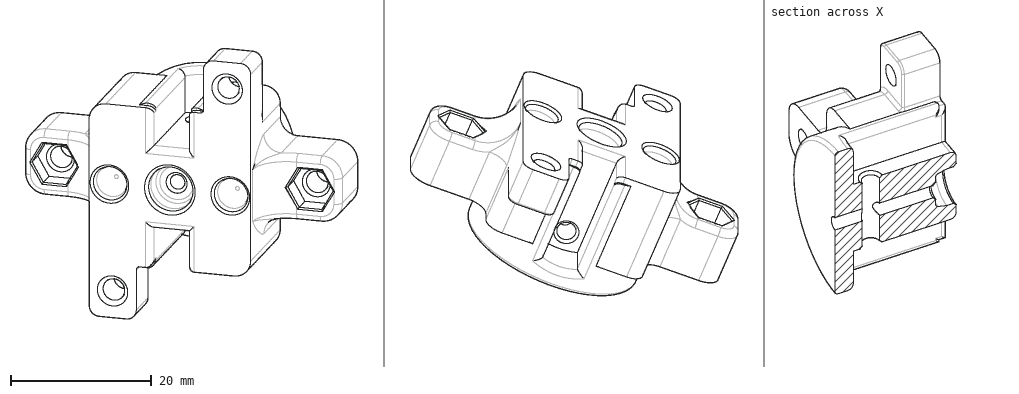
import cadquery as cq
import math

total_depth = 19.5
block_half = 12.0
block_depth = 14.5
block_corner = 2.5
edge_round = 1.0

leg_inner_x = 5.0
leg_reach = 20.0
leg_depth = 6.0
leg_corner = 1.5
leg_root_cove = 0.5
leg_rim_round = 0.3
leg_hole_x = 8.5
leg_hole_z = 16.0
screw_hole_radius = 1.6
leg_countersink = 0.65

ear_reach = 23.5
ear_half_height = 4.9
ear_front_y = 6.0
ear_corner = 3.0
ear_front_sweep = 5.0
ear_root_fillet = 2.6
nut_x = 19.0
nut_flats = 5.85
nut_chamfer = 0.25
nut_depth = 3.0
nut_seat_chamfer = 0.45

barrel_radius = 12.92
barrel_front_y = 1.0
barrel_rim_round = 0.5

slot_half_width = 2.65
slot_floor_z = 6.1
slot_end_y = 16.5
slot_end_radius = 10.5
cross_hole_y = 13.72
cross_hole_radius = 1.35
cross_hole_chamfer = 0.4

pocket_x = 9.0
pocket_radius = 2.5
pocket_mouth = 0.38
pocket_rim_y = 1.2
pocket_ball_radius = 2.25
pocket_tip_radius = 0.3
bore_mouth_radius = 3.75
bore_radius = 3.3
bore_floor_radius = 2.85
bore_taper_y = 1.55
bore_depth = 3.3
bore_floor_round = 0.45
pilot_radius = 1.1
pilot_chamfer = 0.45


def half_turned(shape):
    """Copy turned half a turn about the Y axis."""
    return shape.rotate((0, 0, 0), (0, 1, 0), 180)


def box(x0, x1, y0, y1, z0, z1):
    return cq.Workplane("XY").box(x1 - x0, y1 - y0, z1 - z0, centered=False).translate((x0, y0, z0))


def turned(points, x=0.0, z=0.0):
    """Solid of revolution about a line parallel to Y; points are (radius, y)."""
    profile = cq.Workplane("XY").polyline(points).close()
    return profile.revolve(360, (0, 0, 0), (0, 1, 0)).translate((x, 0, z))


def countersunk_hole(x, z, start_y, end_y, radius, chamfer):
    points = [
        (0, start_y),
        (radius + chamfer, start_y),
        (radius, start_y + chamfer),
        (radius, end_y),
        (0, end_y),
    ]
    return turned(points, x, z)


def slot_cutter():
    """Upper slot, open at the front and closed by a curved wall at the back."""
    side_y = slot_end_y - slot_end_radius
    side_y += math.sqrt(slot_end_radius**2 - slot_half_width**2)
    return (
        cq.Workplane("XY", origin=(0, 0, slot_floor_z))
        .moveTo(-slot_half_width, 0)
        .lineTo(slot_half_width, 0)
        .lineTo(slot_half_width, side_y)
        .threePointArc((0, slot_end_y), (-slot_half_width, side_y))
        .close()
        .extrude(barrel_radius)
    )


def slot_mouth_edges(edges, surface_z):
    """Edges where the slots meet the front face and the outer surface beyond surface_z."""
    slack = 0.005
    front_y = min(edge.BoundingBox().ymin for edge in edges)
    chosen = []
    for edge in edges:
        center = edge.Center()
        size = edge.BoundingBox()
        in_slot = size.xmin > -slot_half_width - slack and size.xmax < slot_half_width + slack
        on_front = size.ymax < front_y + slack
        on_outside = abs(center.z) > surface_z - slack and center.y < slot_end_y
        if in_slot and (on_front or on_outside):
            chosen.append(edge)
    return chosen


def cut_rounded_slots(body, surface_z):
    slot = slot_cutter()
    body = body.cut(slot).cut(half_turned(slot))
    return body.newObject(slot_mouth_edges(body.edges().vals(), surface_z)).fillet(edge_round)


def make_barrel():
    barrel = turned(
        [
            (0, barrel_front_y),
            (barrel_radius, barrel_front_y),
            (barrel_radius, total_depth),
            (0, total_depth),
        ]
    )
    barrel = barrel.faces(">Y").edges().fillet(barrel_rim_round)
    for x0, x1 in ((-barrel_radius, -block_half), (block_half, barrel_radius)):
        barrel = barrel.cut(box(x0, x1, 0, ear_front_y, -barrel_radius, barrel_radius))
    return cut_rounded_slots(barrel, block_half)


def make_ear():
    """Ear on the +X side, swept into the block side by an arc on its front."""
    arc_start_y = ear_front_y - ear_front_sweep
    arc_end_x = block_half + ear_front_sweep
    diagonal = ear_front_sweep * math.sqrt(0.5)
    ear = (
        cq.Workplane("XY", origin=(0, 0, -ear_half_height))
        .moveTo(0, arc_start_y)
        .lineTo(block_half, arc_start_y)
        .threePointArc((arc_end_x - diagonal, arc_start_y + diagonal), (arc_end_x, ear_front_y))
        .lineTo(ear_reach, ear_front_y)
        .lineTo(ear_reach, block_depth)
        .lineTo(0, block_depth)
        .close()
        .extrude(2 * ear_half_height)
    )
    return ear.edges("|Y and >X").fillet(ear_corner)


def ear_front_edges(edges):
    """Edges around the ear front, out past the block side."""
    slack = 0.005
    chosen = []
    for edge in edges:
        center = edge.Center()
        on_front = edge.BoundingBox().ymax < ear_front_y + slack
        along_outline = abs(center.z) > slack or center.x > ear_reach - slack
        if center.x > block_half + slack and on_front and along_outline:
            chosen.append(edge)
    return chosen


def ear_root_edges(edges):
    """Straight edges where the top and bottom of the ear meet the block side."""
    slack = 0.005
    chosen = []
    for edge in edges:
        center = edge.Center()
        on_side = abs(center.x - block_half) < slack
        on_ear = abs(abs(center.z) - ear_half_height) < slack
        if on_side and on_ear:
            chosen.append(edge)
    return chosen


def make_leg():
    leg = box(leg_inner_x, block_half, 0, leg_depth, 0, leg_reach)
    leg = leg.edges("|Y and >Z").fillet(leg_corner)
    return leg.faces(">Y").edges("not <Z").fillet(leg_rim_round)


def leg_root_edges(edges):
    """Straight edge beside the leg; the cove runs on from it around the leg's back."""
    slack = 0.005
    chosen = []
    for edge in edges:
        center = edge.Center()
        if abs(center.x - leg_inner_x) < slack and abs(center.z - block_half) < slack:
            chosen.append(edge)
    return chosen


def make_core():
    """Block, legs and ears, built as one half and its half-turned copy."""
    half = box(0, block_half, 0, block_depth, -block_half, block_half)
    half = half.edges("|Y and >X").fillet(block_corner)
    half = half.union(make_leg())
    half = half.newObject(leg_root_edges(half.edges("|Y").vals())).fillet(leg_root_cove)
    ear = make_ear()
    ear = ear.newObject(ear_front_edges(ear.edges().vals())).fillet(edge_round)
    half = half.union(ear)
    half = half.newObject(ear_root_edges(half.edges("|Y").vals())).fillet(ear_root_fillet)
    core = half.union(half_turned(half))
    return cut_rounded_slots(core, block_half)


def nut_pocket(x):
    """Clearance hole through an ear with a hexagonal nut pocket sunk from its front."""
    floor_y = ear_front_y + nut_depth
    corner_scale = 2 / math.sqrt(3)
    mouth_flats = nut_flats + 2 * nut_chamfer
    plane = cq.Workplane("XZ", origin=(x, floor_y, 0))
    pocket = plane.polygon(6, nut_flats * corner_scale).extrude(nut_depth)
    mouth = (
        cq.Workplane("XZ", origin=(x, ear_front_y + nut_chamfer, 0))
        .polygon(6, nut_flats * corner_scale)
        .workplane(offset=nut_chamfer)
        .polygon(6, mouth_flats * corner_scale)
        .loft(ruled=True)
    )
    hole = countersunk_hole(x, 0, floor_y, block_depth, screw_hole_radius, nut_seat_chamfer)
    relief = cq.Workplane("XZ", origin=(x, ear_front_y, 0)).polygon(6, mouth_flats * corner_scale)
    return pocket.union(mouth).union(hole).union(relief.extrude(ear_front_y))


def ball_pocket(x):
    """Blind pocket with a chamfered mouth, a short taper and a ball-shaped bottom."""
    tip_y = pocket_rim_y + math.sqrt(pocket_ball_radius**2 - pocket_tip_radius**2)
    diagonal = pocket_ball_radius * math.sqrt(0.5)
    profile = (
        cq.Workplane("XY")
        .moveTo(0, 0)
        .lineTo(pocket_radius + pocket_mouth, 0)
        .lineTo(pocket_radius, pocket_mouth)
        .lineTo(pocket_ball_radius, pocket_rim_y)
        .threePointArc((diagonal, pocket_rim_y + diagonal), (pocket_tip_radius, tip_y))
        .lineTo(0, tip_y)
        .close()
    )
    return profile.revolve(360, (0, 0, 0), (0, 1, 0)).translate((x, 0, 0))


def center_bore():
    """Tapered bore with a rounded floor and a pilot hole running out through the back."""
    bore = turned(
        [
            (0, 0),
            (bore_mouth_radius, 0),
            (bore_radius, bore_mouth_radius - bore_radius),
            (bore_radius, bore_taper_y),
            (bore_floor_radius, bore_depth),
            (0, bore_depth),
        ]
    )
    bore = bore.faces(">Y").edges().fillet(bore_floor_round)
    return bore.union(countersunk_hole(0, 0, bore_depth, total_depth, pilot_radius, pilot_chamfer))


def cross_hole():
    """Hole along Z joining the two slot floors, countersunk at both ends."""
    hole = countersunk_hole(0, 0, -slot_floor_z, slot_floor_z, cross_hole_radius, cross_hole_chamfer)
    hole = hole.union(hole.rotate((0, 0, 0), (0, 0, 1), 180))
    return hole.rotate((0, 0, 0), (1, 0, 0), 90).translate((0, cross_hole_y, 0))


result = make_core().union(make_barrel())

for side in (-1, 1):
    result = result.cut(nut_pocket(side * nut_x))
    result = result.cut(ball_pocket(side * pocket_x))
    result = result.cut(
        countersunk_hole(
            side * leg_hole_x, side * leg_hole_z, 0, leg_depth, screw_hole_radius, leg_countersink
        )
    )
result = result.cut(center_bore()).cut(cross_hole())